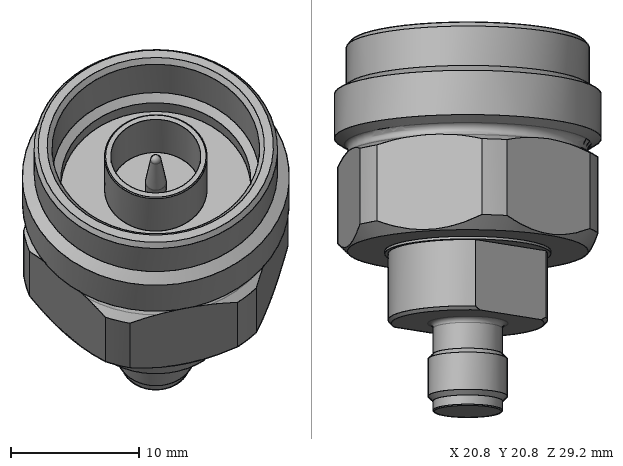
import cadquery as cq
import math

TOTAL_HEIGHT = 29.18

nut_radius = 20.8 / 2
nut_collar_radius = 9.48
nut_rim_chamfer_width = 0.32
nut_rim_chamfer_height = 0.38
band_top_z = 25.12
band_bottom_z = 21.62
band_top_chamfer_height = 0.55
groove_radius = 9.35
groove_z = 20.7
groove_top_radius = 9.63
groove_top_z = 21.13
groove_bottom_radius = 9.72
groove_bottom_z = 20.15

hex_sides = 6
hex_across_flats = 18.95
hex_shoulder_z = 19.73
hex_bottom_z = 12.7
hex_bottom_chamfer = 1.02
nut_foot_radius = 6.48
nut_foot_height = 0.2

socket_radius = 8.08
socket_mouth_chamfer = 0.38
socket_floor_radius = 7.4
socket_floor_z = 23.37
socket_cone_bottom_z = 24.55
socket_cone_top_z = 24.98

sleeve_radius = 4.0
sleeve_bore_radius = 3.5
sleeve_top_z = 27.85
sleeve_chamfer = 0.1
pin_radius = 0.82
pin_cone_start_z = 24.4
pin_tip_radius = 0.4
pin_tip_center_z = 27.35

body_radius = 6.22
body_flat_count = 2
body_across_flats = 10.05
body_bottom_z = 6.97
body_chamfer = 0.25

jack_neck_radius = 2.7
jack_neck_fillet = 0.4
jack_thread_radius = 3.1
jack_thread_top_z = 4.15
jack_thread_bottom_z = 1.2
jack_end_chamfer = 0.1


def turned(profile):
    """Revolve a closed outline drawn in (radius, z) about the Z axis."""
    return profile.close().revolve(360, (0, 0, 0), (0, 1, 0))


def outline():
    return cq.Workplane("XZ")


def flats(count, across_flats, bottom_z, top_z):
    """Material outside evenly spaced wrench flats, the first one facing +X."""
    height = top_z - bottom_z
    depth = nut_radius
    block = (
        cq.Workplane("XY", origin=(across_flats / 2 + depth / 2, 0, bottom_z))
        .rect(depth, 2 * nut_radius)
        .extrude(height)
    )
    cutter = block
    for index in range(1, count):
        cutter = cutter.union(block.rotate((0, 0, 0), (0, 0, 1), index * 360 / count))
    return cutter


def coupling_nut():
    foot_z = hex_bottom_z - nut_foot_height
    blank = turned(
        outline()
        .moveTo(0, foot_z)
        .lineTo(nut_foot_radius, foot_z)
        .lineTo(nut_foot_radius, hex_bottom_z)
        .lineTo(nut_radius - hex_bottom_chamfer, hex_bottom_z)
        .lineTo(nut_radius, hex_bottom_z + hex_bottom_chamfer)
        .lineTo(nut_radius, hex_shoulder_z)
        .lineTo(groove_bottom_radius, groove_bottom_z)
        .threePointArc((groove_radius, groove_z), (groove_top_radius, groove_top_z))
        .lineTo(nut_radius, band_bottom_z)
        .lineTo(nut_radius, band_top_z)
        .lineTo(nut_collar_radius, band_top_z + band_top_chamfer_height)
        .lineTo(nut_collar_radius, TOTAL_HEIGHT - nut_rim_chamfer_height)
        .lineTo(nut_collar_radius - nut_rim_chamfer_width, TOTAL_HEIGHT)
        .lineTo(0, TOTAL_HEIGHT)
    )
    return blank.cut(flats(hex_sides, hex_across_flats, hex_bottom_z, groove_z))


def socket():
    return turned(
        outline()
        .moveTo(0, socket_floor_z)
        .lineTo(socket_floor_radius, socket_floor_z)
        .lineTo(socket_floor_radius, socket_cone_bottom_z)
        .lineTo(socket_radius, socket_cone_top_z)
        .lineTo(socket_radius, TOTAL_HEIGHT - socket_mouth_chamfer)
        .lineTo(socket_radius + socket_mouth_chamfer, TOTAL_HEIGHT)
        .lineTo(0, TOTAL_HEIGHT)
    )


def contact_sleeve():
    return turned(
        outline()
        .moveTo(sleeve_bore_radius, socket_floor_z)
        .lineTo(sleeve_radius, socket_floor_z)
        .lineTo(sleeve_radius, sleeve_top_z - sleeve_chamfer)
        .lineTo(sleeve_radius - sleeve_chamfer, sleeve_top_z)
        .lineTo(sleeve_bore_radius, sleeve_top_z)
    )


def center_pin():
    tip_diagonal = pin_tip_radius * math.sqrt(0.5)
    return turned(
        outline()
        .moveTo(0, socket_floor_z)
        .lineTo(pin_radius, socket_floor_z)
        .lineTo(pin_radius, pin_cone_start_z)
        .lineTo(pin_tip_radius, pin_tip_center_z)
        .threePointArc(
            (tip_diagonal, pin_tip_center_z + tip_diagonal),
            (0, pin_tip_center_z + pin_tip_radius),
        )
    )


def wrench_body():
    blank = turned(
        outline()
        .moveTo(0, body_bottom_z)
        .lineTo(body_radius - body_chamfer, body_bottom_z)
        .lineTo(body_radius, body_bottom_z + body_chamfer)
        .lineTo(body_radius, hex_bottom_z)
        .lineTo(0, hex_bottom_z)
    )
    return blank.cut(flats(body_flat_count, body_across_flats, body_bottom_z, hex_bottom_z))


def threaded_jack():
    thread_step = jack_thread_radius - jack_neck_radius
    fillet_start_z = body_bottom_z - jack_neck_fillet
    return turned(
        outline()
        .moveTo(0, 0)
        .lineTo(jack_neck_radius - jack_end_chamfer, 0)
        .lineTo(jack_neck_radius, jack_end_chamfer)
        .lineTo(jack_neck_radius, jack_thread_bottom_z - thread_step)
        .lineTo(jack_thread_radius, jack_thread_bottom_z)
        .lineTo(jack_thread_radius, jack_thread_top_z)
        .lineTo(jack_neck_radius, jack_thread_top_z + thread_step)
        .lineTo(jack_neck_radius, fillet_start_z)
        .radiusArc((jack_neck_radius + jack_neck_fillet, body_bottom_z), jack_neck_fillet)
        .lineTo(0, body_bottom_z)
    )


result = (
    coupling_nut()
    .cut(socket())
    .union(contact_sleeve())
    .union(center_pin())
    .union(wrench_body())
    .union(threaded_jack())
)